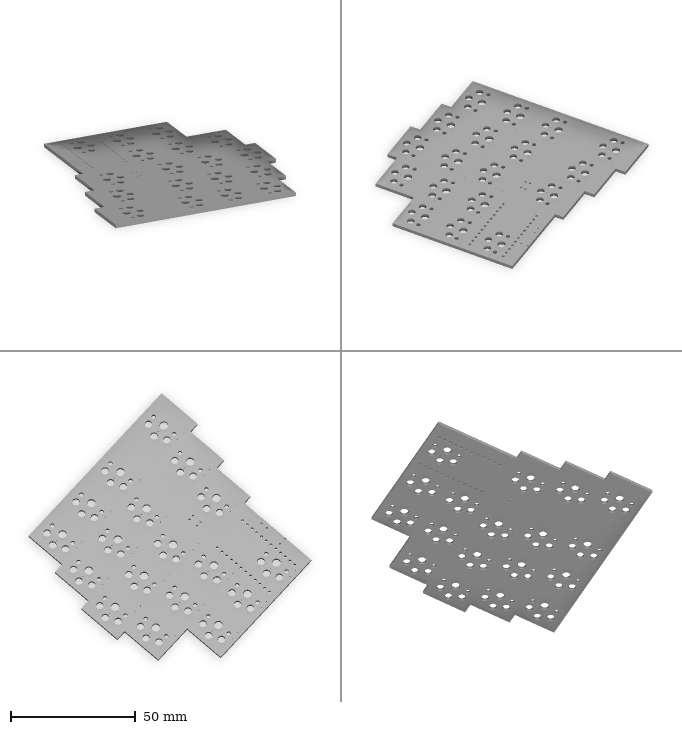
import cadquery as cq


length = 91.5
width = 89.0
thickness = 1.6

column_count = 5
middle = column_count // 2
keys_per_column = 3
spanned_pitches = 4
cell_half_x = 9.7
cell_half_y = 9.5
column_pitch = (length - 2 * cell_half_x) / (column_count - 1)
row_pitch = (width - 2 * cell_half_y) / spanned_pitches
stagger = row_pitch / 4
column_x = [cell_half_x + i * column_pitch for i in range(column_count)]

middle_top_y = width - cell_half_y
top_key_y = [
    middle_top_y - stagger - row_pitch,
    middle_top_y - stagger,
    middle_top_y,
    middle_top_y - stagger,
    middle_top_y - 2 * stagger,
]
thumb_columns = [2, 3, 4]
thumb_drop = 3.5 * row_pitch
thumb_y = {i: top_key_y[i] - thumb_drop for i in thumb_columns}
left_bottom_y = 12.4

stem_diameter = 3.4
socket_diameter = 3.0
upper_socket_y = 5.95
side_socket_x = 4.9
side_socket_y = 3.75
peg_diameter = 1.7
peg_x = 5.5
small_diameter = 0.35
via_y = 3.5

diode_spacing = 3.3
diode_x = -8.0
diode_y = -1.0
middle_diode_x = -7.4
middle_diode_y = diode_y - stagger

pin_count = 12
pin_row_length = 28.0
pin_pitch = pin_row_length / (pin_count - 1)
pin_diameter = 1.1
pin_start_x = 3.6
pin_row_y = 18.5
pin_row_spacing = 15.3

connector_diameter = 0.9
connector_center_y = 31.3
connector_spacing_x = 4.0
connector_spacing_y = 2.0

wire_diameter = 0.75
upright_pair_x = 13.8
upright_pair_y = 14.4
upright_pair_spacing = 2.8
level_pair_x = 23.7
level_pair_y = 14.3
level_pair_spacing = 2.9


def make_board():
    """Plate whose stepped edges follow the column stagger."""
    left = [x - cell_half_x for x in column_x]
    right = [x + cell_half_x for x in column_x]
    top = [y + cell_half_y for y in top_key_y]
    bottom = {i: y - cell_half_y for i, y in thumb_y.items()}
    outline = [
        (left[0], left_bottom_y),
        (left[0], top[0]),
        (left[1], top[0]),
        (left[1], top[1]),
        (left[2], top[1]),
        (left[2], top[2]),
        (right[2], top[2]),
        (right[2], top[3]),
        (right[3], top[3]),
        (right[3], top[4]),
        (right[4], top[4]),
        (right[4], bottom[4]),
        (left[4], bottom[4]),
        (left[4], bottom[3]),
        (left[3], bottom[3]),
        (left[3], bottom[2]),
        (left[2], bottom[2]),
        (left[2], left_bottom_y),
    ]
    return cq.Workplane("XY").polyline(outline).close().extrude(thickness)


def drill(points, diameter):
    """Cylinders through the board at the given points."""
    return cq.Workplane("XY").pushPoints(points).circle(diameter / 2).extrude(thickness)


def around(centers, offsets):
    """Every offset applied to every centre."""
    return [(x + dx, y + dy) for x, y in centers for dx, dy in offsets]


def pair_along_y(x, y, spacing):
    """Two points centred on (x, y), one above the other."""
    return [(x, y - spacing / 2), (x, y + spacing / 2)]


def pair_along_x(x, y, spacing):
    """Two points centred on (x, y), side by side."""
    return [(x - spacing / 2, y), (x + spacing / 2, y)]


column_keys = [
    [(column_x[i], top_key_y[i] - row * row_pitch) for row in range(keys_per_column)]
    for i in range(column_count)
]
middle_keys = column_keys[middle]
outer_keys = [key for i, keys in enumerate(column_keys) if i != middle for key in keys]
thumb_keys = [(column_x[i], y) for i, y in thumb_y.items()]
all_keys = outer_keys + middle_keys + thumb_keys

socket_offsets = [
    (0, upper_socket_y),
    (-side_socket_x, side_socket_y),
    (side_socket_x, side_socket_y),
]
peg_offsets = [(-peg_x, 0), (peg_x, 0)]
small_holes = (
    around(all_keys, [(0, via_y)])
    + around(outer_keys + thumb_keys, pair_along_y(diode_x, diode_y, diode_spacing))
    + around(middle_keys, pair_along_y(middle_diode_x, middle_diode_y, diode_spacing))
)
pins = [
    (pin_start_x + i * pin_pitch, y)
    for i in range(pin_count)
    for y in (pin_row_y, pin_row_y + pin_row_spacing)
]
connector_holes = around(
    pair_along_x(column_x[middle], connector_center_y, connector_spacing_x),
    pair_along_y(0, 0, connector_spacing_y),
)
wire_holes = (
    pair_along_y(upright_pair_x, upright_pair_y, upright_pair_spacing)
    + pair_along_x(level_pair_x, level_pair_y, level_pair_spacing)
)

result = (
    make_board()
    .cut(drill(all_keys, stem_diameter))
    .cut(drill(around(all_keys, socket_offsets), socket_diameter))
    .cut(drill(around(all_keys, peg_offsets), peg_diameter))
    .cut(drill(small_holes, small_diameter))
    .cut(drill(pins, pin_diameter))
    .cut(drill(connector_holes, connector_diameter))
    .cut(drill(wire_holes, wire_diameter))
)